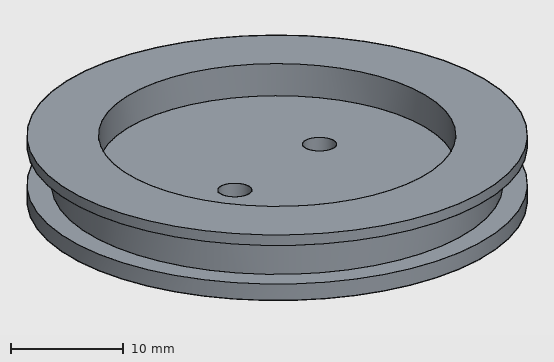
import cadquery as cq

outer_diameter = 44.45
total_height = 6.35
bottom_flange_height = 1.6
top_flange_height = 1.0

groove_floor_diameter = 40.15
groove_height = total_height - bottom_flange_height - top_flange_height

pocket_diameter = 31.75
pocket_depth = 3.1

hole_diameter = 3.0
hole_spacing = 12.65


def disc(diameter, height, base_z):
    """Solid disc centred on the Z axis, standing on base_z."""
    return cq.Workplane("XY").workplane(offset=base_z).circle(diameter / 2).extrude(height)


groove_ring = disc(outer_diameter, groove_height, bottom_flange_height).cut(
    disc(groove_floor_diameter, groove_height, bottom_flange_height)
)
body = disc(outer_diameter, total_height, 0).cut(groove_ring)

pocket = disc(pocket_diameter, pocket_depth, total_height - pocket_depth)

holes = (
    cq.Workplane("XY")
    .pushPoints([(0, -hole_spacing / 2), (0, hole_spacing / 2)])
    .circle(hole_diameter / 2)
    .extrude(total_height)
)

result = body.cut(pocket).cut(holes)